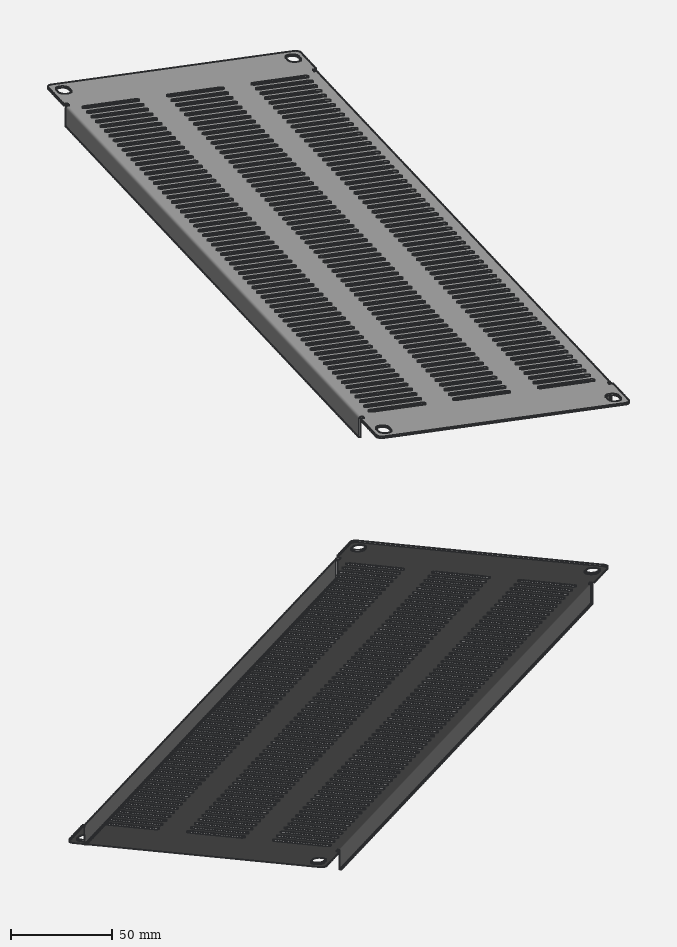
import cadquery as cq
import math

length = 482.5
width = 132.5
height = 11.0
thickness = 1.0
corner_radius = 3.0

flange_length = 426.5
bend_inner_radius = 0.6
bend_outer_radius = bend_inner_radius + thickness

relief_width = 2.5
relief_depth = 2.0

mount_slot_length = 10.0
mount_slot_width = 6.8
mount_spacing_x = 465.0
mount_spacing_y = 120.5

vent_columns = 65
vent_rows = 3
vent_width = 3.0
vent_length = 30.0
vent_end_margin = 3.7
vent_span = flange_length - 2 * vent_end_margin - vent_width
vent_pitch_x = vent_span / (vent_columns - 1)
vent_pitch_y = 44.5


def make_plate():
    """Flat panel with rounded corners; its top face lies on Z = 0."""
    plate = cq.Workplane("XY").box(length, width, thickness, centered=(True, True, False))
    return plate.edges("|Z").fillet(corner_radius).translate((0, 0, -thickness))


def make_edge_cutter(side, start_x, end_x, depth):
    """Block that trims one long edge of the plate between two X positions."""
    cutter = cq.Workplane("XY").box(end_x - start_x, depth, 2 * thickness)
    return cutter.translate(((start_x + end_x) / 2, side * (width - depth) / 2, -thickness / 2))


def make_bend_clearance(side):
    """Edge strip that the bend takes up, with a deeper relief notch at each end."""
    bend_end = flange_length / 2
    notch_end = bend_end + relief_width
    strip = make_edge_cutter(side, -bend_end, bend_end, bend_outer_radius)
    left_notch = make_edge_cutter(side, -notch_end, -bend_end, relief_depth)
    right_notch = make_edge_cutter(side, bend_end, notch_end, relief_depth)
    return strip.union(left_notch).union(right_notch)


def make_flange(side):
    """Bend and downturned flange, extruded along X."""
    outer = side * width / 2
    inner = outer - side * thickness
    bend_start = outer - side * bend_outer_radius
    diagonal = math.cos(math.pi / 4)
    outer_mid = (
        bend_start + side * bend_outer_radius * diagonal,
        -bend_outer_radius * (1 - diagonal),
    )
    inner_mid = (
        bend_start + side * bend_inner_radius * diagonal,
        -bend_outer_radius + bend_inner_radius * diagonal,
    )
    return (
        cq.Workplane("YZ")
        .moveTo(bend_start, 0)
        .threePointArc(outer_mid, (outer, -bend_outer_radius))
        .lineTo(outer, -height)
        .lineTo(inner, -height)
        .lineTo(inner, -bend_outer_radius)
        .threePointArc(inner_mid, (bend_start, -thickness))
        .close()
        .extrude(flange_length / 2, both=True)
    )


def make_mount_slots():
    """Cutters for the four mounting slots."""
    return (
        cq.Workplane("XY")
        .rarray(mount_spacing_x, mount_spacing_y, 2, 2)
        .slot2D(mount_slot_length, mount_slot_width)
        .extrude(thickness, both=True)
    )


def make_vents():
    """Cutters for the rows of round-ended ventilation slots."""
    return (
        cq.Workplane("XY")
        .rarray(vent_pitch_x, vent_pitch_y, vent_columns, vent_rows)
        .slot2D(vent_length, vent_width, 90)
        .extrude(thickness, both=True)
    )


result = make_plate()
for side in (-1, 1):
    result = result.cut(make_bend_clearance(side)).union(make_flange(side))
result = result.cut(make_mount_slots()).cut(make_vents())